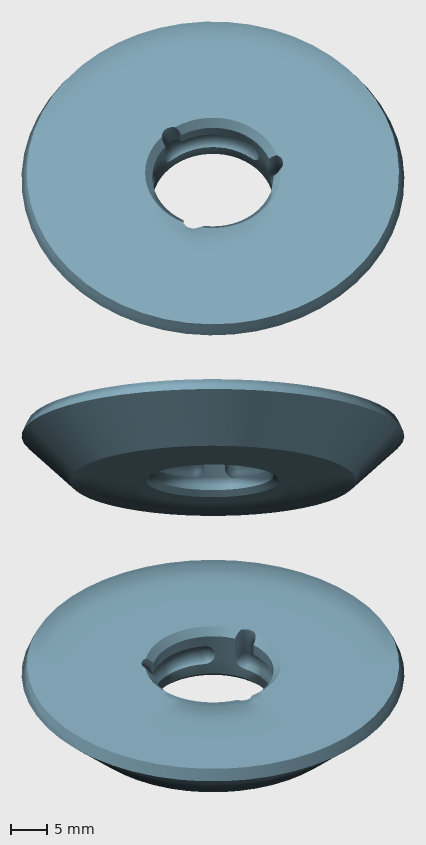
import cadquery as cq
import math

height = 8.0
rim_diameter = 53.08
rim_radius = rim_diameter / 2
rim_z = 6.4
top_radius = 25.8
bottom_radius = 19.8

bore_diameter = 16.8
bore_radius = bore_diameter / 2
bore_top_chamfer = 1.0
bore_bottom_chamfer = 0.8

lock_count = 3
first_slot_angle = 60.0
groove_sweep = 80.0
groove_radius = 1.5
groove_path_radius = bore_radius
groove_z = 3.9


def make_disc():
    """Revolve the half profile of the disc and its chamfered bore about Z."""
    profile = [
        (bore_radius, bore_bottom_chamfer),
        (bore_radius + bore_bottom_chamfer, 0),
        (bottom_radius, 0),
        (rim_radius, rim_z),
        (top_radius, height),
        (bore_radius + bore_top_chamfer, height),
        (bore_radius, height - bore_top_chamfer),
    ]
    return cq.Workplane("XZ").polyline(profile).close().revolve(360, (0, 0), (0, 1))


def ball_at(angle):
    """Ball centred on the groove path at the given angle in degrees."""
    x = groove_path_radius * math.cos(math.radians(angle))
    y = groove_path_radius * math.sin(math.radians(angle))
    return cq.Workplane("XY").sphere(groove_radius).translate((x, y, groove_z))


def make_lock_cutters():
    """Cutters for an entry slot at angle 0 and a ball-ended groove running clockwise from it."""
    slot = (
        cq.Workplane("XY", origin=(groove_path_radius, 0, groove_z))
        .circle(groove_radius)
        .extrude(height - groove_z)
    )
    groove = (
        cq.Workplane("XZ")
        .center(groove_path_radius, groove_z)
        .circle(groove_radius)
        .revolve(groove_sweep, (-groove_path_radius, 0), (-groove_path_radius, -1))
    )
    return [slot, ball_at(0), groove, ball_at(-groove_sweep)]


result = make_disc()
for index in range(lock_count):
    slot_angle = first_slot_angle + index * 360 / lock_count
    for cutter in make_lock_cutters():
        result = result.cut(cutter.rotate((0, 0, 0), (0, 0, 1), slot_angle))